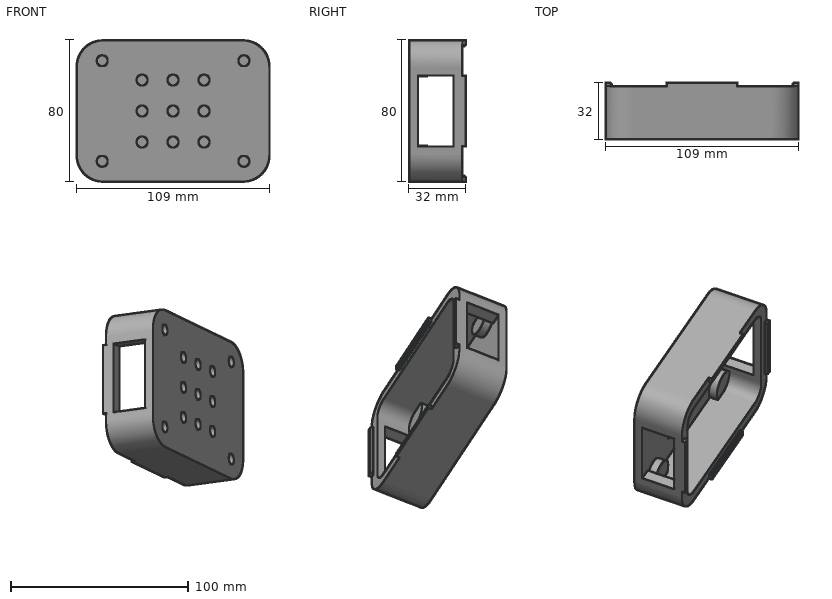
import cadquery as cq

LENGTH = 109.0
HEIGHT = 80.0
DEPTH = 30.0
CORNER_RADIUS = 15.0
WALL = 7.0
FLOOR = 5.0

TAB_WIDTH = 40.0
TAB_HEIGHT = 2.0
TAB_THICKNESS = 2.5
SNAP_REACH = 1.0

WINDOW_WIDTH = 40.0
WINDOW_DEPTH = 20.0

POCKET_DIAMETER = 6.2
POCKET_DEPTH = 4.5
GRID_COUNT = 3
GRID_PITCH = 17.5
CORNER_SPACING_X = 80.0
CORNER_SPACING_Z = 56.8

BOSS_DIAMETER = 17.6
BOSS_HEIGHT = 5.0


def rounded_block(length, height, radius, y_start, y_end):
    """Block along Y with its four long edges rounded."""
    block = cq.Workplane("XY").box(length, y_end - y_start, height)
    return block.edges("|Y").fillet(radius).translate((0, (y_start + y_end) / 2, 0))


def cylinders(points, diameter, y_start, y_end):
    """Cylinders along +Y, centred on (x, z) points."""
    solids = cq.Workplane("XZ", origin=(0, y_start, 0)).pushPoints(points)
    return solids.circle(diameter / 2).extrude(y_start - y_end)


def snap_tab(wall_distance):
    """Tab flush with a wall at +X; a pointed ridge runs along its inner face."""
    inner = wall_distance - TAB_THICKNESS
    tip = inner - SNAP_REACH
    top = DEPTH + TAB_HEIGHT
    profile = [
        (wall_distance, DEPTH),
        (wall_distance, top),
        (inner, top),
        (tip, DEPTH + TAB_HEIGHT / 2),
        (inner, DEPTH),
    ]
    return cq.Workplane("XY").polyline(profile).close().extrude(TAB_WIDTH / 2, both=True)


corner_points = [
    (side_x * CORNER_SPACING_X / 2, side_z * CORNER_SPACING_Z / 2)
    for side_x in (-1, 1)
    for side_z in (-1, 1)
]
grid_offsets = [(i - (GRID_COUNT - 1) / 2) * GRID_PITCH for i in range(GRID_COUNT)]
grid_points = [(x, z) for x in grid_offsets for z in grid_offsets]

outer = rounded_block(LENGTH, HEIGHT, CORNER_RADIUS, 0, DEPTH)
cavity = rounded_block(LENGTH - 2 * WALL, HEIGHT - 2 * WALL, CORNER_RADIUS - WALL, FLOOR, DEPTH)
body = outer.cut(cavity)

window = cq.Workplane("XY").box(LENGTH, WINDOW_DEPTH, WINDOW_WIDTH)
body = body.cut(window.translate((0, FLOOR + WINDOW_DEPTH / 2, 0)))

bosses = cylinders(corner_points, BOSS_DIAMETER, FLOOR, FLOOR + BOSS_HEIGHT)
body = body.union(bosses)

for quarter in range(4):
    distance = HEIGHT / 2 if quarter % 2 else LENGTH / 2
    body = body.union(snap_tab(distance).rotate((0, 0, 0), (0, 1, 0), 90 * quarter))

body = body.cut(cylinders(corner_points + grid_points, POCKET_DIAMETER, 0, POCKET_DEPTH))

result = body